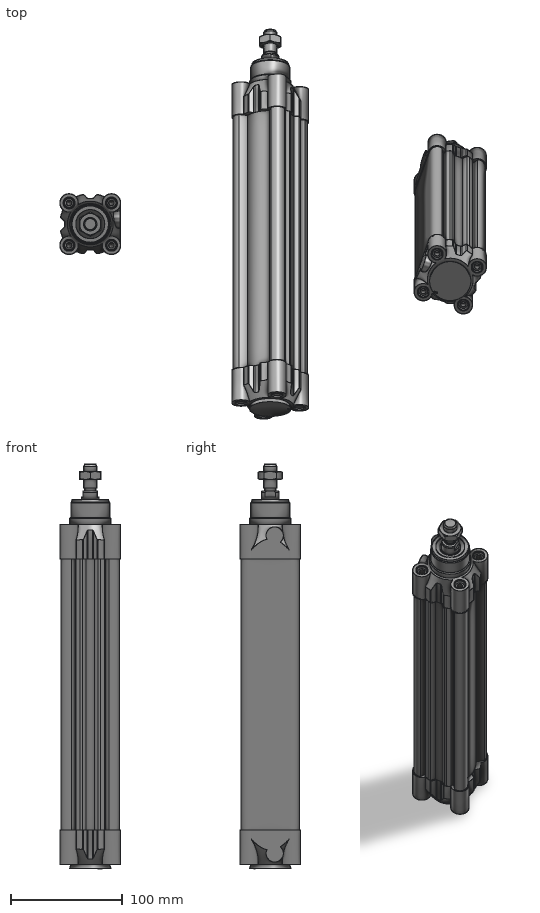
import cadquery as cq
import math

mount_length = 305.0
cap_height = 31.0
envelope = 54.5
tower_pitch = 38.0
tower_center = tower_pitch / 2
tower_radius = (envelope - tower_pitch) / 2
side_face = 27.0

barrel_length = mount_length - 2 * cap_height

notch_floor = (1.8, 23.0)
notch_wall_foot = (2.9, 23.4)
rib_inner_tip = (6.0, 26.5)
rib_outer_tip = (7.0, 26.5)
rib_root = (12.5, 24.7)
slope_top_radius = 20.5
slope_rise_per_radius = 2.0

port_boss_radius = 15.5 / 2
port_boss_offset = 4.0
port_boss_depth = 8.0
port_from_face = 10.0

recess_radius = 10.65 / 2
recess_depth = 1.5
seat_top_radius = 9.9 / 2
seat_floor_radius = 4.0
seat_depth = 3.0
drill_radius = 4.92 / 2
drill_depth = 12.0
drill_tip_length = 1.5

spigot_radius = 35.0 / 2
spigot_height = 22.2
shoulder_drop = 3.0
shoulder_radius = 16.8
shoulder_upper_drop = 2.0
face_radius = 16.3
ring_radius = 37.0 / 2
ring_height = 5.3
ring_bevel = 1.0
seal_recess_diameter = 26.0
seal_recess_depth = 1.0
wiper_gap_radius = 9.4
wiper_gap_depth = 2.0
rear_spigot_height = 3.5
mark_length = 3.3
mark_width = 1.1
mark_height = 0.5
mark_center = (8.8, -14.2)

barrel_corner_radius = 7.25
tube_radius = 23.0
flank_edge = 17.0
flat_side_half = 11.5
slot_half = 3.8
rail_inner_tip = (7.1, 26.0)
rail_outer_tip = (9.3, 26.0)
rail_root = (12.6, 24.2)
groove_floor = (13.7, 21.5)
groove_edge = (14.8, 22.6)

rod_radius = 8.0
rod_reach = 30.0
thread_radius = 6.0
thread_length = 24.0
thread_tip_radius = 9.9 / 2
thread_chamfer = 2.0
undercut_radius = 10.3 / 2
undercut_length = 2.5
rod_chamfer_width = 0.5
rod_chamfer_height = 1.5
flat_width = 13.0
flat_length = 5.5
nut_width = 19.0
nut_height = 7.0
nut_from_tip = 6.7
nut_bevel_radius = 9.6
nut_bevel_height = 0.8

tower_points = [(x, y) for x in (-tower_center, tower_center) for y in (-tower_center, tower_center)]


def turned(points, quarter_turns):
    """Turn XY points about Z by a number of quarter turns."""
    for _ in range(quarter_turns):
        points = [(-y, x) for x, y in points]
    return points


def revolved(profile):
    """Solid of revolution about Z from a closed (radius, height) outline."""
    return cq.Workplane("XZ").polyline(profile).close().revolve(360, (0, 0), (0, 1))


def cap_body():
    """Cap between the towers: ribbed on three sides, flat on +X, sloped off at the outer end."""
    half_side = [rib_root, rib_outer_tip, rib_inner_tip, notch_wall_foot, notch_floor]
    ribbed_side = half_side + [(-x, y) for x, y in reversed(half_side)]
    tower = (tower_center, tower_center)
    outline = [(side_face, tower_center)]
    for turn in range(3):
        outline += turned([tower] + ribbed_side, turn)
    outline += turned([tower], 3) + [(side_face, -tower_center)]
    prism = cq.Workplane("XY").polyline(outline).close().extrude(cap_height)

    base_radius = slope_top_radius + cap_height / slope_rise_per_radius
    cone = cq.Workplane("XY").circle(base_radius).workplane(offset=cap_height).circle(slope_top_radius).loft()
    return prism.intersect(cone)


def port_boss():
    return (
        cq.Workplane("YZ", origin=(side_face - port_boss_depth, 0, 0))
        .center(port_boss_offset, cap_height - port_from_face)
        .circle(port_boss_radius)
        .extrude(port_boss_depth)
    )


def screw_hole():
    """Stepped hole that opens upward at Z = 0 and ends in a drill point."""
    profile = [
        (0, 0),
        (recess_radius, 0),
        (recess_radius, -recess_depth),
        (seat_top_radius, -recess_depth),
        (seat_floor_radius, -seat_depth),
        (drill_radius, -seat_depth),
        (drill_radius, -drill_depth),
        (0, -drill_depth - drill_tip_length),
    ]
    return revolved(profile)


def end_cap():
    """Cap standing on Z = 0 with its mounting face and screw holes on top."""
    towers = cq.Workplane("XY").pushPoints(tower_points).circle(tower_radius).extrude(cap_height)
    cap = cap_body().union(port_boss()).union(towers)

    for x, y in tower_points:
        cap = cap.cut(screw_hole().translate((x, y, cap_height)))
    return cap


def front_cap():
    spigot_profile = [
        (0, 0),
        (ring_radius, 0),
        (ring_radius, ring_height),
        (spigot_radius, ring_height + ring_bevel),
        (spigot_radius, spigot_height - shoulder_drop),
        (shoulder_radius, spigot_height - shoulder_upper_drop),
        (face_radius, spigot_height),
        (0, spigot_height),
    ]
    spigot = revolved(spigot_profile)
    seal_recess = revolved(
        [
            (0, spigot_height),
            (seal_recess_diameter / 2, spigot_height),
            (seal_recess_diameter / 2, spigot_height - seal_recess_depth),
            (wiper_gap_radius, spigot_height - seal_recess_depth),
            (wiper_gap_radius, spigot_height - wiper_gap_depth),
            (0, spigot_height - wiper_gap_depth),
        ]
    )
    rod_bore = cq.Workplane("XY").circle(rod_radius).extrude(cap_height + spigot_height)
    cap = end_cap().union(spigot.cut(seal_recess).translate((0, 0, cap_height))).cut(rod_bore)
    return cap.translate((0, 0, mount_length - cap_height))


def rear_cap():
    spigot = (
        cq.Workplane("XY")
        .circle(spigot_radius)
        .workplane(offset=-rear_spigot_height)
        .circle(ring_radius)
        .loft()
    )
    mark = (
        cq.Workplane("XY", origin=(0, 0, -rear_spigot_height - mark_height))
        .center(*mark_center)
        .rect(mark_length, mark_width)
        .extrude(mark_height)
    )
    cap = end_cap().mirror("XY").translate((0, 0, cap_height))
    return cap.union(spigot).union(mark)


def tube_point(offset):
    """Point of the tube surface at a sideways offset from the +Y direction."""
    return (offset, math.sqrt(tube_radius**2 - offset**2))


def barrel():
    corner_reach = tower_center + barrel_corner_radius
    flank = tower_center + math.sqrt(barrel_corner_radius**2 - (tower_center - flank_edge) ** 2)
    diagonal = tower_center + barrel_corner_radius * math.sqrt(0.5)
    slot_x, slot_y = tube_point(slot_half)
    side_y, side_x = tube_point(flat_side_half)
    rail = [groove_edge, groove_floor, rail_root, rail_outer_tip, rail_inner_tip, (slot_x, slot_y)]
    mirrored_rail = [(-x, y) for x, y in reversed(rail)]
    half_outline = (
        cq.Workplane("XY")
        .moveTo(corner_reach, 0)
        .lineTo(corner_reach, tower_center)
        .threePointArc((diagonal, diagonal), (flank_edge, flank))
        .polyline(rail, includeCurrent=True)
        .threePointArc((0, tube_radius), mirrored_rail[0])
        .polyline(mirrored_rail[1:], includeCurrent=True)
        .lineTo(-flank_edge, flank)
        .threePointArc((-diagonal, diagonal), (-flank, flank_edge))
        .lineTo(-side_x, side_y)
        .threePointArc(turned([tube_point(flat_side_half / 2)], 1)[0], (-tube_radius, 0))
    )
    return half_outline.mirrorX().extrude(barrel_length).translate((0, 0, cap_height))


def piston_rod():
    rod_start = mount_length - cap_height
    shoulder = mount_length + rod_reach
    tip = shoulder + thread_length
    profile = [
        (0, rod_start),
        (rod_radius, rod_start),
        (rod_radius, shoulder - rod_chamfer_height),
        (rod_radius - rod_chamfer_width, shoulder),
        (undercut_radius, shoulder),
        (undercut_radius, shoulder + undercut_length),
        (thread_radius, shoulder + undercut_length),
        (thread_radius, tip - thread_chamfer),
        (thread_tip_radius, tip),
        (0, tip),
    ]
    rod = revolved(profile)
    for side in (-1, 1):
        flat_cut = (
            cq.Workplane("XY")
            .box(rod_radius, 2 * rod_radius, flat_length, centered=(True, True, False))
            .translate((side * (flat_width + rod_radius) / 2, 0, shoulder - flat_length))
        )
        rod = rod.cut(flat_cut)
    return rod


def rod_nut():
    corner_radius = nut_width / 2 / math.cos(math.pi / 6)
    bottom = mount_length + rod_reach + thread_length - nut_from_tip - nut_height
    corners_toward_y = 30
    hexagon = cq.Workplane("XY").polygon(6, 2 * corner_radius).extrude(nut_height)
    hexagon = hexagon.rotate((0, 0, 0), (0, 0, 1), corners_toward_y)
    bevelled_blank = [
        (thread_radius, 0),
        (nut_bevel_radius, 0),
        (corner_radius, nut_bevel_height),
        (corner_radius, nut_height - nut_bevel_height),
        (nut_bevel_radius, nut_height),
        (thread_radius, nut_height),
    ]
    return hexagon.intersect(revolved(bevelled_blank)).translate((0, 0, bottom))


result = cq.Compound.makeCompound(
    [front_cap().val(), rear_cap().val(), barrel().val(), piston_rod().val(), rod_nut().val()]
)